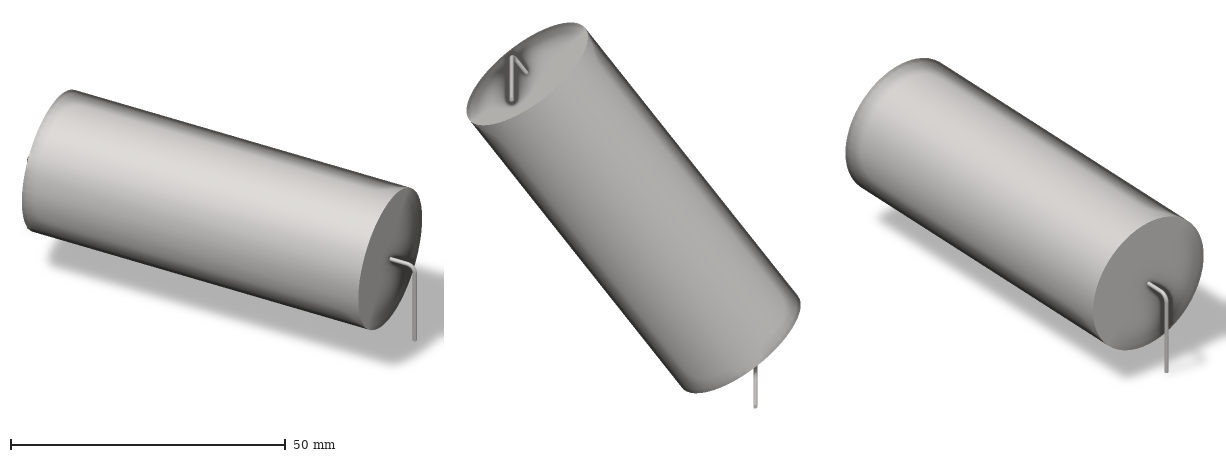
import cadquery as cq

overall_length = 78.5
overall_height = 30.5
body_length = 67.8
sleeve_diameter = 26.9
core_diameter = 25.9
lead_diameter = 0.8
bend_radius = 1.6

body_end = body_length / 2
lead_x = (overall_length - lead_diameter) / 2
lead_bottom = sleeve_diameter / 2 - overall_height


def cylinder_blank(diameter):
    """Solid cylinder as long as the body, centred on the X axis."""
    return cq.Workplane("YZ", origin=(-body_end, 0, 0)).circle(diameter / 2).extrude(body_length)


def make_sleeve():
    """Thin outer tube, open at both ends."""
    return cylinder_blank(sleeve_diameter).cut(cylinder_blank(core_diameter))


def make_core():
    """Cylinder filling the sleeve, flush with its ends."""
    return cylinder_blank(core_diameter)


def make_lead(side):
    """Round wire from one end face (side = -1 or 1), bent down through a right angle."""
    bend_start = (side * (lead_x - bend_radius), 0)
    bend_end = (side * lead_x, -bend_radius)
    path = (
        cq.Workplane("XZ")
        .moveTo(side * body_end, 0)
        .lineTo(*bend_start)
        .tangentArcPoint(bend_end, relative=False)
        .lineTo(side * lead_x, lead_bottom)
    )
    section = cq.Workplane("YZ", origin=(side * body_end, 0, 0)).circle(lead_diameter / 2)
    return section.sweep(path)


sleeve = make_sleeve()
core = make_core()
leads = [make_lead(side) for side in (-1, 1)]

result = cq.Compound.makeCompound([sleeve.val(), core.val(), *[lead.val() for lead in leads]])